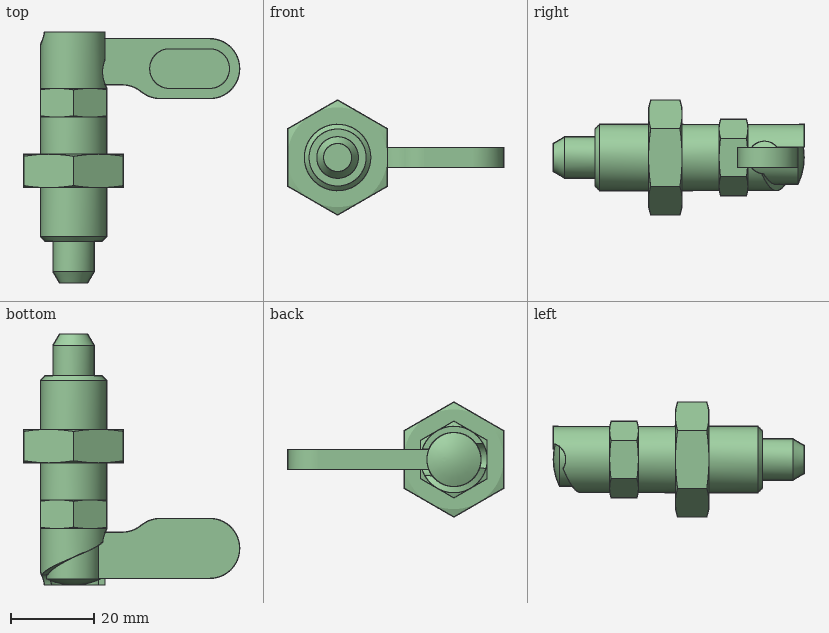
import cadquery as cq
import math

total_length = 60.4

body_diameter = 16.0
body_radius = body_diameter / 2
body_front = 10.0
body_chamfer = 1.15

pin_diameter = 10.0
pin_tip_diameter = 6.75
pin_taper_length = 2.8

nut_corners = 27.7
nut_front = 22.95
nut_thickness = 8.05
hex_half_angle = math.radians(30)
body_hex_flats = body_diameter
body_hex_corners = body_hex_flats / math.cos(hex_half_angle)
body_hex_front = 39.9
body_hex_thickness = 6.9
hex_chamfer_angle = 15.0

bore_diameter = 13.05
core_diameter = 13.0
core_radius = core_diameter / 2
dome_height = 1.5
sleeve_front = body_hex_front + body_hex_thickness
core_shoulder = total_length - dome_height

lever_travel = 10.5
rear_seat_overhang = 0.9
ramp_rear_inset = 1.45
seat_radius = 3.9
rear_seat_y = total_length + rear_seat_overhang
front_seat_y = rear_seat_y - lever_travel
ramp_start_y = total_length - ramp_rear_inset - lever_travel
ramp_height = 18.1
cut_margin = 1.2

lever_thickness = 4.9
lever_clearance = 0.05
lever_reach = 40.0
lever_end_radius = 7.25
lever_rear = core_shoulder - lever_clearance
lever_front = lever_rear - 2 * lever_end_radius
neck_width = 11.2
neck_front = lever_rear - neck_width
bend_radius = 7.25
bend_angle = 37.0
bend_end_x = 20.9
grip_rim = 2.5
grip_length = 19.2
grip_depth = 1.6


def make_plunger():
    """Pin, chamfered body and domed core, revolved about Y."""
    pin_radius = pin_diameter / 2
    half_angle = math.atan(dome_height / core_radius)
    dome_radius = core_radius / math.sin(2 * half_angle)
    dome_middle = (
        dome_radius * math.sin(half_angle),
        total_length - dome_radius * (1 - math.cos(half_angle)),
    )
    return (
        cq.Workplane("XY")
        .moveTo(0, 0)
        .lineTo(pin_tip_diameter / 2, 0)
        .lineTo(pin_radius, pin_taper_length)
        .lineTo(pin_radius, body_front)
        .lineTo(body_radius - body_chamfer, body_front)
        .lineTo(body_radius, body_front + body_chamfer)
        .lineTo(body_radius, sleeve_front)
        .lineTo(core_radius, sleeve_front)
        .lineTo(core_radius, core_shoulder)
        .threePointArc(dome_middle, (0, total_length))
        .close()
        .revolve(360, (0, 0, 0), (0, 1, 0))
    )


def make_hexagon(corners, front, thickness):
    """Hexagonal prism along Y with conically chamfered ends."""
    corner_radius = corners / 2
    flat_radius = corner_radius * math.cos(hex_half_angle)
    chamfer = (corner_radius - flat_radius) * math.tan(math.radians(hex_chamfer_angle))
    rear = front + thickness
    prism = (
        cq.Workplane("XZ", origin=(0, front, 0))
        .polygon(6, corners)
        .extrude(-thickness)
        .rotate((0, 0, 0), (0, 1, 0), 90)
    )
    envelope = (
        cq.Workplane("XY")
        .moveTo(0, front)
        .lineTo(flat_radius, front)
        .lineTo(corner_radius, front + chamfer)
        .lineTo(corner_radius, rear - chamfer)
        .lineTo(flat_radius, rear)
        .lineTo(0, rear)
        .close()
        .revolve(360, (0, 0, 0), (0, 1, 0))
    )
    return prism.intersect(envelope)


def make_helical_cut():
    """Half-turn cutter rising from the +X side, under the axis, to the -X side."""
    helix = cq.Wire.makeHelix(2 * lever_travel, lever_travel, body_radius)
    inner_radius = core_radius - cut_margin
    outer_radius = body_radius + cut_margin
    cutter = (
        cq.Workplane("XZ")
        .moveTo(inner_radius, 0)
        .lineTo(outer_radius, 0)
        .lineTo(outer_radius, ramp_height)
        .lineTo(inner_radius, ramp_height)
        .close()
        .sweep(cq.Workplane(obj=helix), isFrenet=True)
    )
    return cutter.rotate((0, 0, 0), (1, 0, 0), -90).translate((0, ramp_start_y, 0))


def make_seat_cut(seat_y, direction):
    """Round lever seat through one side wall of the sleeve."""
    return (
        cq.Workplane("YZ")
        .center(seat_y, 0)
        .circle(seat_radius)
        .extrude(direction * (body_radius + cut_margin))
    )


def make_entry_cut():
    """Straight opening from the front seat to the end of the sleeve."""
    length = total_length - front_seat_y + cut_margin
    return cq.Workplane("XY").box(
        body_radius + cut_margin, length, lever_thickness + 2 * lever_clearance, centered=(False, False, True)
    ).translate((0, front_seat_y, 0))


def make_sleeve():
    """Tubular cam sleeve with the lever slot cut through its wall."""
    return (
        cq.Workplane("XZ", origin=(0, sleeve_front, 0))
        .circle(body_radius)
        .circle(bore_diameter / 2)
        .extrude(sleeve_front - total_length)
        .cut(make_helical_cut())
        .cut(make_seat_cut(rear_seat_y, -1))
        .cut(make_seat_cut(front_seat_y, 1))
        .cut(make_entry_cut())
    )


def make_lever():
    """Flat lever with an S-shaped neck and a shallow grip recess on top."""
    end_x = lever_reach - lever_end_radius
    end_y = lever_rear - lever_end_radius
    turn = math.radians(bend_angle)
    arc_run = bend_radius * math.sin(turn)
    arc_drop = bend_radius * (1 - math.cos(turn))
    straight_drop = neck_front - lever_front - 2 * arc_drop
    straight_run = straight_drop / math.tan(turn)
    bend_start_x = bend_end_x - 2 * arc_run - straight_run
    half_run = bend_radius * math.sin(turn / 2)
    half_drop = bend_radius * (1 - math.cos(turn / 2))
    lever = (
        cq.Workplane("XY", origin=(0, 0, -lever_thickness / 2))
        .moveTo(0, lever_rear)
        .lineTo(end_x, lever_rear)
        .threePointArc((lever_reach, end_y), (end_x, lever_front))
        .lineTo(bend_end_x, lever_front)
        .threePointArc(
            (bend_end_x - half_run, lever_front + half_drop),
            (bend_end_x - arc_run, lever_front + arc_drop),
        )
        .lineTo(bend_start_x + arc_run, neck_front - arc_drop)
        .threePointArc(
            (bend_start_x + half_run, neck_front - half_drop),
            (bend_start_x, neck_front),
        )
        .lineTo(0, neck_front)
        .close()
        .extrude(lever_thickness)
    )
    grip_width = 2 * (lever_end_radius - grip_rim)
    grip_x = lever_reach - grip_rim - grip_length / 2
    recess = (
        cq.Workplane("XY", origin=(grip_x, end_y, lever_thickness / 2))
        .slot2D(grip_length, grip_width)
        .extrude(-grip_depth)
    )
    return lever.cut(recess)


result = (
    make_plunger()
    .union(make_sleeve())
    .union(make_hexagon(body_hex_corners, body_hex_front, body_hex_thickness))
    .union(make_hexagon(nut_corners, nut_front, nut_thickness))
    .union(make_lever())
)